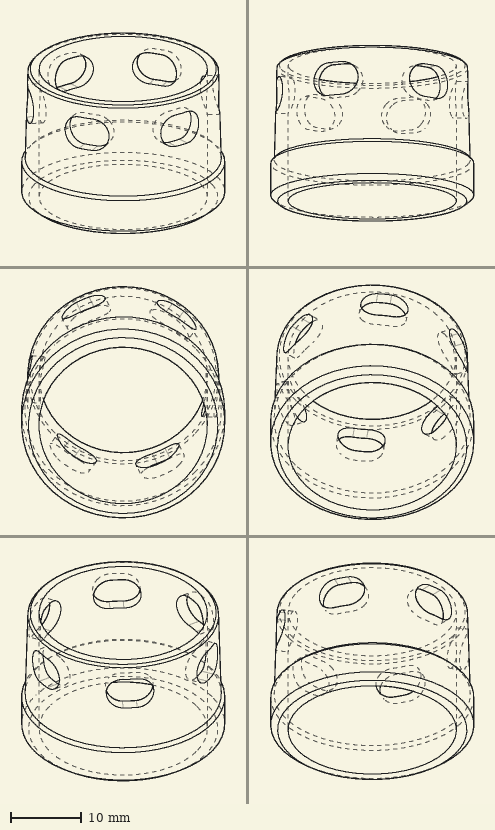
import cadquery as cq

height = 19.8
bore_radius = 12.0

collar_radius = 14.5
collar_top = 6.0
collar_top_chamfer = 0.5
foot_chamfer_width = 1.0
foot_chamfer_height = 0.8

taper_base_radius = collar_radius - collar_top_chamfer
taper_top_radius = 13.62
rim_chamfer = 0.35

slot_count = 6
slot_length = 6.8
slot_height = 4.8
slot_center_z = 15.1
slot_first_angle = 30.0


def make_sleeve():
    """Revolve the wall section around the Z axis."""
    section = (
        cq.Workplane("XZ")
        .moveTo(bore_radius, 0)
        .lineTo(collar_radius - foot_chamfer_width, 0)
        .lineTo(collar_radius, foot_chamfer_height)
        .lineTo(collar_radius, collar_top - collar_top_chamfer)
        .lineTo(taper_base_radius, collar_top)
        .lineTo(taper_top_radius, height - rim_chamfer)
        .lineTo(taper_top_radius - rim_chamfer, height)
        .lineTo(bore_radius, height)
        .close()
    )
    return section.revolve(360, (0, 0, 0), (0, 1, 0))


def make_slot_cutter(angle):
    """Round-ended bar running radially outward from the axis at the given angle from +X."""
    bar = (
        cq.Workplane("YZ")
        .center(0, slot_center_z)
        .slot2D(slot_length, slot_height)
        .extrude(collar_radius)
    )
    return bar.rotate((0, 0, 0), (0, 0, 1), angle)


result = make_sleeve()
for index in range(slot_count):
    slot_angle = slot_first_angle + index * 360.0 / slot_count
    result = result.cut(make_slot_cutter(slot_angle))